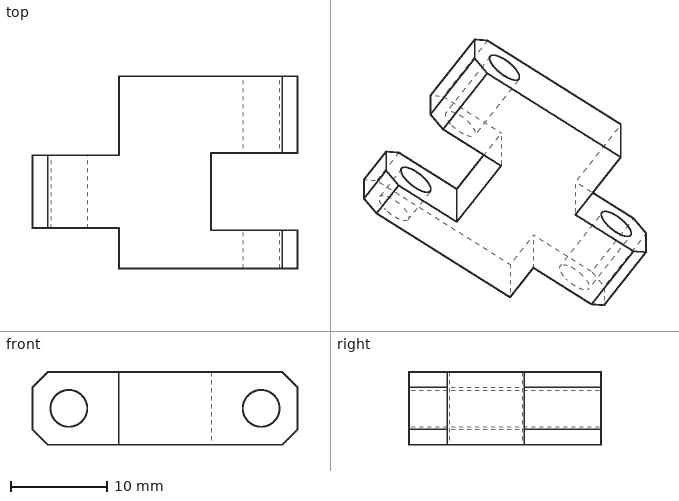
import cadquery as cq

length = 27.6
width = 20.0
height = 7.6

joint_depth = 9.0
slot_width = 8.0
tongue_width = 7.6
joint_center_y = 8.0

end_chamfer = 1.6
pin_diameter = 3.8
pin_inset = height / 2


def box_between(x_start, x_end, y_center, y_size):
    """Full-height block spanning x_start to x_end, centred on y_center."""
    block = cq.Workplane("XY").box(x_end - x_start, y_size, height, centered=(False, True, False))
    return block.translate((x_start, y_center, 0))


body = box_between(joint_depth, length, width / 2, width)
tongue = box_between(0, joint_depth, joint_center_y, tongue_width)
slot = box_between(length - joint_depth, length, joint_center_y, slot_width)
link = body.union(tongue).cut(slot)

link = link.faces("<X or >X").edges("|Y").chamfer(end_chamfer)

pin_holes = (
    cq.Workplane("XZ")
    .pushPoints([(x, height / 2) for x in (pin_inset, length - pin_inset)])
    .circle(pin_diameter / 2)
    .extrude(-width)
)

result = link.cut(pin_holes)